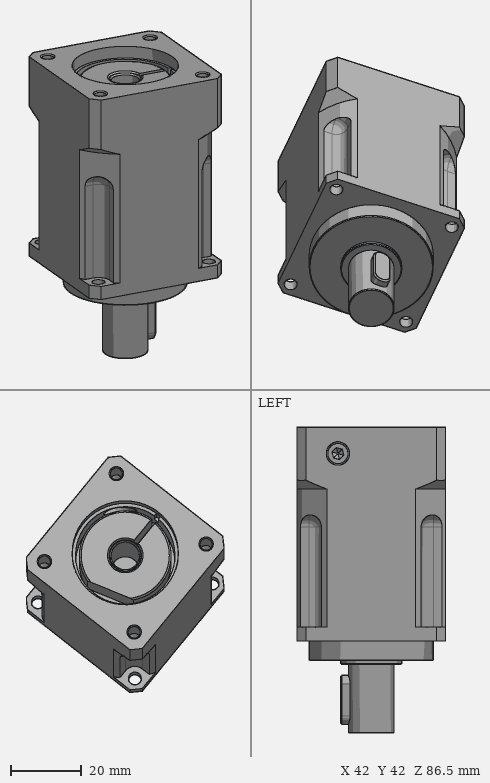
import cadquery as cq
import math


overall_height = 86.5
width = 42.0
shaft_reach = 26.0
housing_height = overall_height - shaft_reach
corner_chamfer = 2.5
flange_thickness = 4.0
adapter_height = 15.0
relief_ramp_height = 2.5
waist_radius = 24.5

mount_hole_offset = 17.6
mount_hole_diameter = 3.6
pocket_radius = 3.5
pocket_height = 31.75
motor_hole_offset = 16.3
motor_hole_diameter = 3.4
motor_hole_mouth = 4.1
motor_hole_depth = 10.0
drill_half_angle = 59.0

pilot_diameter = 35.1
pilot_height = 5.5
pilot_chamfer = 0.3
seal_diameter = 17.3
seal_height = 1.0
seal_chamfer = 0.3
shaft_diameter = 13.0
shaft_chamfer = 0.3
key_width = 5.0
key_length = 14.0
key_end_gap = 2.4
key_top = 8.65
key_chamfer = 0.4

recess_diameter = 30.0
recess_depth = 3.55
well_diameter = 28.1
well_depth = 14.5
hub_diameter = 25.95
hub_chamfer = 0.5
hub_flat_distance = 10.9
hub_flat_angle = 16.0
hub_bore_diameter = 9.2
hub_bore_chamfer = 0.4
sleeve_bore_diameter = 8.0
sleeve_chamfer = 0.4
sleeve_bore_depth = 25.0
sleeve_slit_width = 0.6
sleeve_slit_angle = 31.0
slot_width = 1.5
slot_step_radius = 6.0
slot_inner_depth = 11.25
notch_depth = 8.65

screw_y = 9.4
screw_depth = 7.4
screw_access_diameter = 6.6
screw_head_diameter = 5.7
screw_head_height = 3.0
screw_face_x = -6.0
socket_size = 3.0
socket_depth = 1.5
socket_tip_depth = 1.0
socket_taper = 50.0
socket_angle = -15.0

top = housing_height
hub_top = top - recess_depth
well_floor = top - well_depth
shaft_tip = -shaft_reach
half_width = width / 2
screw_z = top - screw_depth
screw_seat_x = screw_face_x + screw_head_height


def cylinder(diameter, bottom, height):
    return cq.Workplane("XY").workplane(offset=bottom).circle(diameter / 2).extrude(height)


def countersink(bottom_diameter, chamfer, bottom):
    """Upward-opening 45 degree countersink tool."""
    radius = bottom_diameter / 2
    solid = cq.Solid.makeCone(radius, radius + chamfer, chamfer)
    return cq.Workplane(solid).translate((0, 0, bottom))


def corner_points(offset):
    return [(sx * offset, sy * offset) for sx in (-1, 1) for sy in (-1, 1)]


def make_housing():
    block = cq.Workplane("XY").box(width, width, housing_height, centered=(True, True, False))
    block = block.edges("|Z").chamfer(corner_chamfer)
    corner_radius = math.hypot(half_width, half_width - corner_chamfer)
    ramp_top = top - adapter_height
    ramp_bottom = ramp_top - relief_ramp_height
    envelope = (
        cq.Workplane("XZ")
        .lineTo(corner_radius, 0)
        .lineTo(corner_radius, flange_thickness)
        .lineTo(waist_radius, flange_thickness)
        .lineTo(waist_radius, ramp_bottom)
        .lineTo(corner_radius, ramp_top)
        .lineTo(corner_radius, top)
        .lineTo(0, top)
        .close()
        .revolve(360, (0, 0, 0), (0, 1, 0))
    )
    return block.intersect(envelope)


def make_bolt_pocket():
    """Square pocket for the (+X, +Y) corner, rounded inside and domed at its top."""
    inner_wall = mount_hole_offset - pocket_radius
    side = width - inner_wall
    pocket = cq.Workplane("XY").box(side, side, pocket_height, centered=False)
    pocket = pocket.edges("|Z and <X and <Y").fillet(pocket_radius)
    pocket = pocket.faces(">Z").edges("not (>X or >Y)").fillet(pocket_radius)
    return pocket.translate((inner_wall, inner_wall, flange_thickness))


def make_motor_hole():
    radius = motor_hole_diameter / 2
    mouth = motor_hole_mouth / 2
    tip = radius / math.tan(math.radians(drill_half_angle))
    return (
        cq.Workplane("XZ")
        .moveTo(0, -motor_hole_depth - tip)
        .lineTo(radius, -motor_hole_depth)
        .lineTo(radius, radius - mouth)
        .lineTo(mouth, 0)
        .lineTo(0, 0)
        .close()
        .revolve(360, (0, 0, 0), (0, 1, 0))
        .translate((0, 0, top))
    )


def make_output_end():
    pilot = cylinder(pilot_diameter, -pilot_height, pilot_height).faces("<Z").chamfer(pilot_chamfer)
    seal_bottom = -pilot_height - seal_height
    seal = cylinder(seal_diameter, seal_bottom, seal_height).faces("<Z").chamfer(seal_chamfer)
    shaft = cylinder(shaft_diameter, shaft_tip, shaft_reach).faces("<Z").chamfer(shaft_chamfer)
    key = (
        cq.Workplane("XZ")
        .center(0, shaft_tip + key_end_gap + key_length / 2)
        .slot2D(key_length, key_width, 90)
        .extrude(-key_top)
        .faces(">Y")
        .chamfer(key_chamfer)
    )
    return pilot.union(seal).union(shaft).union(key)


def make_hub():
    hub = cylinder(hub_diameter, well_floor, hub_top - well_floor).faces(">Z").chamfer(hub_chamfer)
    flat = (
        cq.Workplane("XY")
        .box(width, width, housing_height, centered=(True, False, False))
        .translate((0, -hub_flat_distance - width, 0))
        .rotate((0, 0, 0), (0, 0, 1), hub_flat_angle)
    )
    return hub.cut(flat)


def slot_box(start, end, depth):
    """Slot along +Y between two radii, from the hub face down to a depth below the top face."""
    return (
        cq.Workplane("XY")
        .box(slot_width, end - start, depth - recess_depth, centered=(True, False, False))
        .translate((0, start, top - depth))
    )


def cut_hub_bore(body):
    sleeve_top = hub_top - hub_bore_chamfer
    mouth = countersink(hub_bore_diameter, hub_bore_chamfer, sleeve_top)
    sleeve_mouth = countersink(sleeve_bore_diameter, sleeve_chamfer, sleeve_top - sleeve_chamfer)
    sleeve_bore = cylinder(sleeve_bore_diameter, top - sleeve_bore_depth, sleeve_bore_depth)
    slit = (
        cq.Workplane("XY")
        .box(hub_bore_diameter / 2, sleeve_slit_width, sleeve_bore_depth, centered=(False, True, False))
        .rotate((0, 0, 0), (0, 0, 1), sleeve_slit_angle)
        .translate((0, 0, top - sleeve_bore_depth))
    )
    inner_slot = slot_box(hub_bore_diameter / 2, slot_step_radius, slot_inner_depth)
    outer_slot = slot_box(slot_step_radius, hub_diameter / 2, well_depth)
    notch = slot_box(hub_diameter / 2, recess_diameter / 2, notch_depth)
    for tool in (mouth, sleeve_mouth, sleeve_bore, slit, inner_slot, outer_slot, notch):
        body = body.cut(tool)
    return body


def make_screw_access():
    return (
        cq.Workplane("YZ")
        .workplane(offset=-width)
        .center(screw_y, screw_z)
        .circle(screw_access_diameter / 2)
        .extrude(width + screw_seat_x)
    )


def make_screw_head():
    plane = cq.Workplane("YZ").workplane(offset=screw_face_x).center(screw_y, screw_z)
    head = plane.circle(screw_head_diameter / 2).extrude(screw_head_height)
    socket = plane.polygon(6, socket_size, circumscribed=True).extrude(socket_depth)
    socket = socket.rotate((0, screw_y, screw_z), (1, screw_y, screw_z), socket_angle)
    tip_plane = plane.workplane(offset=socket_depth).polygon(6, socket_size, circumscribed=True)
    tip = tip_plane.extrude(socket_tip_depth, taper=socket_taper)
    tip = tip.rotate((0, screw_y, screw_z), (1, screw_y, screw_z), socket_angle)
    return head.cut(socket).cut(tip)


body = make_housing()
pocket = make_bolt_pocket()
for quarter in range(4):
    body = body.cut(pocket.rotate((0, 0, 0), (0, 0, 1), 90 * quarter))

motor_hole = make_motor_hole()
for x, y in corner_points(motor_hole_offset):
    body = body.cut(motor_hole.translate((x, y, 0)))
for x, y in corner_points(mount_hole_offset):
    body = body.cut(cylinder(mount_hole_diameter, 0, flange_thickness).translate((x, y, 0)))

body = body.cut(cylinder(recess_diameter, hub_top, recess_depth))
body = body.cut(cylinder(well_diameter, well_floor, well_depth))
body = body.union(make_hub())
body = cut_hub_bore(body)
body = body.cut(make_screw_access()).union(make_screw_head())

result = body.union(make_output_end())